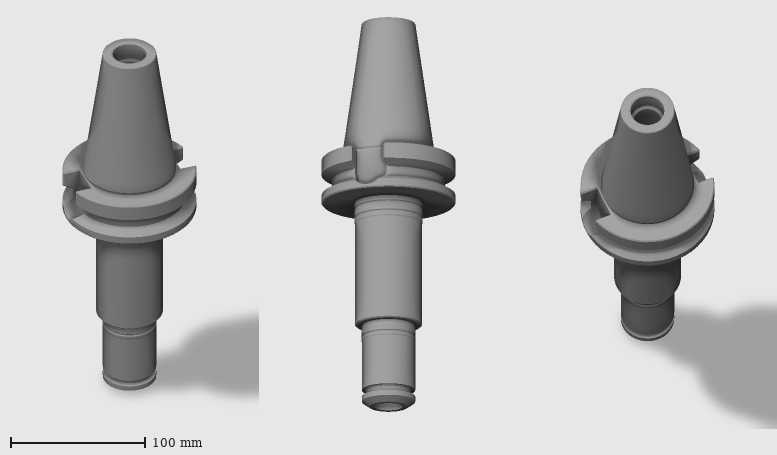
import cadquery as cq
import math

length = 295.8
taper_bottom = 193.0
flange_top = 191.0
flange_bottom = 156.8
shank_bottom = 62.7

taper_top_diameter = 40.2
taper_base_diameter = 69.8
taper_top_chamfer = 0.5
taper_relief_depth = 0.3
taper_relief_chamfer = 1.0

flange_diameter = 100.0
flange_chamfer = 1.0
groove_diameter = 84.5
groove_floor_top = 174.5
groove_floor_bottom = 167.7
groove_flank_angle = 30.0

slot_width = 24.8
slot_floor_distance = 35.5
slot_bottom = 159.5
slot_edge_chamfer = 1.2
edge_tolerance = 0.03

shank_root_diameter = 51.2
shank_root_bottom = 154.5
shank_band_diameter = 50.5
shank_band_bottom = 142.0
shank_diameter = 50.0
shank_step_height = 1.0
shank_end_chamfer = 1.0
shank_ring_heights = (152.5, 145.5)

ring_depth = 0.5
ring_floor_width = 0.5

pilot_diameter = 40.0
pilot_band_diameter = 40.5
pilot_undercut_diameter = 38.7
pilot_undercut_bottom = 62.0
pilot_band_top = 59.2
pilot_band_bottom = 51.2
pilot_step_height = 1.0
pilot_ring_height = 53.8

neck_diameter = 34.0
neck_top = 12.7
disc_top = 7.7
neck_root_chamfer = 1.0
nose_chamfer_height = 3.8
nose_diameter = 28.7

bore_diameter = 20.7
counterbore_diameter = 25.0
counterbore_depth = 13.5
counterbore_chamfer_width = 1.2
counterbore_chamfer_height = 0.5
counterbore_tip_angle = 120.0


def turned(corners):
    """Solid of revolution about Z from (diameter, height) corners listed top to bottom."""
    outline = cq.Workplane("XZ").moveTo(0, corners[0][1])
    for diameter, height in corners:
        outline = outline.lineTo(diameter / 2, height)
    return outline.lineTo(0, corners[-1][1]).close().revolve(360, (0, 0), (0, 1))


def ring_groove(diameter, height):
    """Corners of a ring groove around a cylinder, listed top to bottom."""
    floor_diameter = diameter - 2 * ring_depth
    floor_reach = ring_floor_width / 2
    mouth_reach = floor_reach + ring_depth
    return [
        (diameter, height + mouth_reach),
        (floor_diameter, height + floor_reach),
        (floor_diameter, height - floor_reach),
        (diameter, height - mouth_reach),
    ]


def make_taper():
    relief_diameter = taper_base_diameter - 2 * taper_relief_depth
    return turned([
        (taper_top_diameter - 2 * taper_top_chamfer, length),
        (taper_top_diameter, length - taper_top_chamfer),
        (taper_base_diameter, taper_bottom),
        (relief_diameter, taper_bottom - taper_relief_chamfer),
        (relief_diameter, flange_top),
    ])


def make_flange():
    groove_depth = (flange_diameter - groove_diameter) / 2
    flank_height = groove_depth * math.tan(math.radians(groove_flank_angle))
    return turned([
        (flange_diameter - 2 * flange_chamfer, flange_top),
        (flange_diameter, flange_top - flange_chamfer),
        (flange_diameter, groove_floor_top + flank_height),
        (groove_diameter, groove_floor_top),
        (groove_diameter, groove_floor_bottom),
        (flange_diameter, groove_floor_bottom - flank_height),
        (flange_diameter, flange_bottom + flange_chamfer),
        (flange_diameter - 2 * flange_chamfer, flange_bottom),
    ])


def make_shank():
    corners = [
        (shank_root_diameter, flange_bottom),
        (shank_band_diameter, shank_root_bottom),
    ]
    for height in shank_ring_heights:
        corners += ring_groove(shank_band_diameter, height)
    corners += [
        (shank_band_diameter, shank_band_bottom),
        (shank_diameter, shank_band_bottom - shank_step_height),
        (shank_diameter, shank_bottom + shank_end_chamfer),
        (shank_diameter - 2 * shank_end_chamfer, shank_bottom),
    ]
    return turned(corners)


def make_pilot():
    neck_root_diameter = neck_diameter + 2 * neck_root_chamfer
    corners = [
        (pilot_undercut_diameter, shank_bottom),
        (pilot_undercut_diameter, pilot_undercut_bottom),
        (pilot_diameter, pilot_undercut_bottom - pilot_step_height),
        (pilot_diameter, pilot_band_top + pilot_step_height),
        (pilot_band_diameter, pilot_band_top),
    ]
    corners += ring_groove(pilot_band_diameter, pilot_ring_height)
    corners += [
        (pilot_band_diameter, pilot_band_bottom),
        (pilot_diameter, pilot_band_bottom - pilot_step_height),
        (pilot_diameter, neck_top),
        (neck_root_diameter, neck_top),
        (neck_diameter, neck_top - neck_root_chamfer),
        (neck_diameter, disc_top + neck_root_chamfer),
        (neck_root_diameter, disc_top),
        (pilot_diameter, disc_top),
        (pilot_diameter, nose_chamfer_height),
        (nose_diameter, 0),
    ]
    return turned(corners)


def make_bore():
    mouth_diameter = counterbore_diameter + 2 * counterbore_chamfer_width
    step = (counterbore_diameter - bore_diameter) / 2
    tip_height = step / math.tan(math.radians(counterbore_tip_angle / 2))
    return turned([
        (mouth_diameter, length),
        (counterbore_diameter, length - counterbore_chamfer_height),
        (counterbore_diameter, length - counterbore_depth),
        (bore_diameter, length - counterbore_depth - tip_height),
        (bore_diameter, 0),
    ])


def make_slot():
    """Round-bottomed keyway cutter on the -Y side."""
    arc_center = slot_bottom + slot_width / 2
    return (
        cq.Workplane("XZ", origin=(0, -slot_floor_distance, 0))
        .moveTo(-slot_width / 2, flange_top)
        .lineTo(-slot_width / 2, arc_center)
        .threePointArc((0, slot_bottom), (slot_width / 2, arc_center))
        .lineTo(slot_width / 2, flange_top)
        .close()
        .extrude(flange_diameter / 2)
    )


def is_slot_mouth_edge(edge):
    """True for the edges where a slot wall meets the flange above the groove floor."""
    box = edge.BoundingBox()
    wall = slot_width / 2
    within_slot = box.xmin > -wall - edge_tolerance and box.xmax < wall + edge_tolerance
    on_one_side = box.ymin * box.ymax > 0
    on_slot_floor = max(abs(box.ymin), abs(box.ymax)) < slot_floor_distance + edge_tolerance
    above_groove = box.zmin > groove_floor_top - edge_tolerance
    return within_slot and on_one_side and not on_slot_floor and above_groove


flange = make_flange()
for angle in (0, 180):
    flange = flange.cut(make_slot().rotate((0, 0, 0), (0, 0, 1), angle))
mouth_edges = [edge for edge in flange.edges().vals() if is_slot_mouth_edge(edge)]
flange = flange.newObject(mouth_edges).chamfer(slot_edge_chamfer)

result = make_taper().union(flange).union(make_shank()).union(make_pilot()).cut(make_bore())